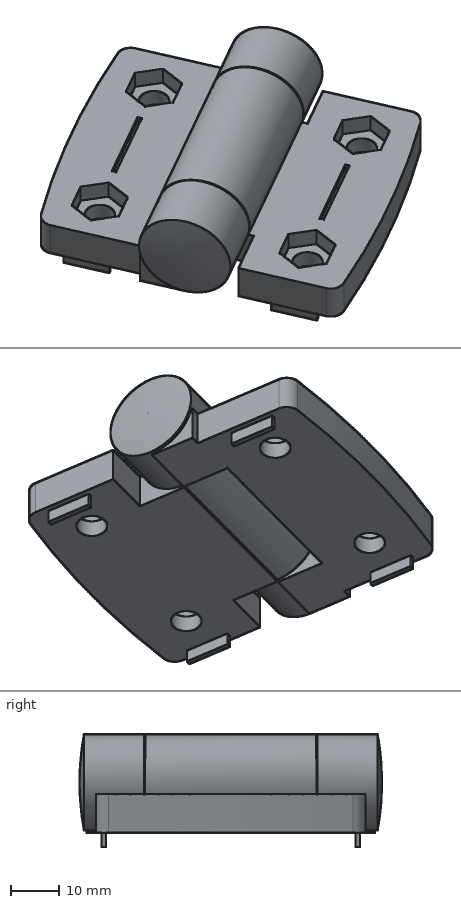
import cadquery as cq
import math

half_width = 34.75
leaf_half_length = 28.0
leaf_thickness = 8.05
outer_edge_radius = 200.0
corner_radius = 3.0

barrel_diameter = 20.0
barrel_radius = barrel_diameter / 2
barrel_axis_z = 10.5
barrel_half_length = 30.5
barrel_length = 62.9
dome_height = barrel_length / 2 - barrel_half_length
dome_tip_diameter = 0.2

knuckle_half_length = 17.8
knuckle_gap = 0.2
side_clearance = 0.9
end_web_half_length = 30.0
pin_diameter = 10.0

hole_x = 22.7
hole_y = 18.0
hole_diameter = 6.4
nut_across_flats = 10.3
nut_pocket_depth = 4.0
marking_width = 0.9
marking_length = 17.0
marking_depth = 1.0
rib_length = 10.0
rib_thickness = 1.0
rib_height = 3.0
rib_y = 26.4

end_knuckle_start = knuckle_half_length + knuckle_gap


def box(x_range, y_range, z_range):
    """Axis-aligned box given by its (low, high) limits."""
    lows, highs = zip(x_range, y_range, z_range)
    size = [high - low for low, high in zip(lows, highs)]
    return cq.Workplane("XY").box(*size, centered=False).translate(lows)


def make_leaf(side, inner_x):
    """Plate with a bowed outer edge; side is -1 or +1 along X."""
    bow = outer_edge_radius - math.sqrt(outer_edge_radius**2 - leaf_half_length**2)
    corner_x = half_width - bow
    return (
        cq.Workplane("XY")
        .moveTo(side * inner_x, -leaf_half_length)
        .lineTo(side * corner_x, -leaf_half_length)
        .threePointArc((side * half_width, 0), (side * corner_x, leaf_half_length))
        .lineTo(side * inner_x, leaf_half_length)
        .close()
        .extrude(leaf_thickness)
        .edges("|Z")
        .edges(">X" if side > 0 else "<X")
        .fillet(corner_radius)
    )


def make_barrel():
    """Domed cylinder along Y, grooved where the knuckles meet."""
    tip_radius = dome_tip_diameter / 2
    tip_y = barrel_length / 2
    dome_radius = (barrel_radius**2 + dome_height**2) / (2 * dome_height)
    mid_x = barrel_radius / 2
    mid_y = tip_y - dome_radius + math.sqrt(dome_radius**2 - mid_x**2)
    barrel = (
        cq.Workplane("XY")
        .moveTo(0, -tip_y)
        .lineTo(tip_radius, -tip_y)
        .threePointArc((mid_x, -mid_y), (barrel_radius, -barrel_half_length))
        .lineTo(barrel_radius, barrel_half_length)
        .threePointArc((mid_x, mid_y), (tip_radius, tip_y))
        .lineTo(0, tip_y)
        .close()
        .revolve(360, (0, 0, 0), (0, 1, 0))
    )
    for low in (knuckle_half_length, -end_knuckle_start):
        groove = (
            cq.Workplane("XZ", origin=(0, low, 0))
            .circle(barrel_radius)
            .circle(pin_diameter / 2)
            .extrude(-knuckle_gap)
        )
        barrel = barrel.cut(groove)
    return barrel.translate((0, 0, barrel_axis_z))


plate_z = (0, leaf_thickness)
clear_x = barrel_radius + side_clearance

left_leaf = make_leaf(-1, barrel_radius)
left_leaf = left_leaf.cut(
    box((-clear_x, 0), (-end_knuckle_start, end_knuckle_start), plate_z)
)

right_leaf = make_leaf(1, clear_x)
centre_web = box((0, clear_x), (-knuckle_half_length, knuckle_half_length), plate_z)

result = left_leaf.union(right_leaf).union(centre_web)

for y_range in (
    (-end_web_half_length, -end_knuckle_start),
    (end_knuckle_start, end_web_half_length),
):
    result = result.union(box((-barrel_radius, 0), y_range, plate_z))

result = result.union(make_barrel())

hole_points = [(x, y) for x in (-hole_x, hole_x) for y in (-hole_y, hole_y)]
nut_across_corners = nut_across_flats / math.cos(math.pi / 6)
nut_pocket = (
    cq.Workplane("XY")
    .polygon(6, nut_across_corners)
    .extrude(nut_pocket_depth)
    .rotate((0, 0, 0), (0, 0, 1), 30)
)
bolt_hole = cq.Workplane("XY").circle(hole_diameter / 2).extrude(leaf_thickness)
for x, y in hole_points:
    result = result.cut(nut_pocket.translate((x, y, leaf_thickness - nut_pocket_depth)))
    result = result.cut(bolt_hole.translate((x, y, 0)))

marking_grooves = (
    cq.Workplane("XY", origin=(0, 0, leaf_thickness - marking_depth))
    .pushPoints([(-hole_x, 0), (hole_x, 0)])
    .rect(marking_width, marking_length)
    .extrude(marking_depth)
)
result = result.cut(marking_grooves)

rib_points = [(x, y) for x in (-hole_x, hole_x) for y in (-rib_y, rib_y)]
ribs = (
    cq.Workplane("XY")
    .pushPoints(rib_points)
    .rect(rib_length, rib_thickness)
    .extrude(-rib_height)
)
result = result.union(ribs)